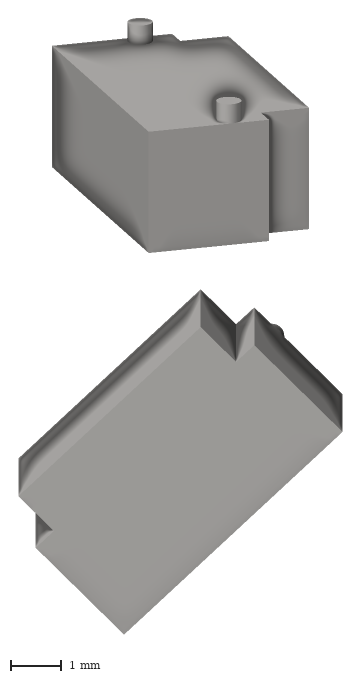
import cadquery as cq

length = 6.0
depth = 3.5
total_height = 2.9

body_height = 2.5
tongue_depth = 1.0
shoulder_width = 0.5
block_depth = depth - tongue_depth
tongue_length = length - 2 * shoulder_width

pin_diameter = 0.5
pin_height = total_height - body_height
pin_offset = (length - pin_diameter) / 2
pin_y = depth / 2


def make_body():
    """T-shaped body, centred on X with its front face at Y = 0."""
    block = cq.Workplane("XY").box(length, block_depth, body_height, centered=(True, False, False))
    tongue = cq.Workplane("XY").box(tongue_length, depth, body_height, centered=(True, False, False))
    return block.union(tongue).clean()


def make_pins():
    """Pair of round pins standing on the top face."""
    return (
        cq.Workplane("XY", origin=(0, 0, body_height))
        .pushPoints([(-pin_offset, pin_y), (pin_offset, pin_y)])
        .circle(pin_diameter / 2)
        .extrude(pin_height)
    )


result = make_body().union(make_pins())